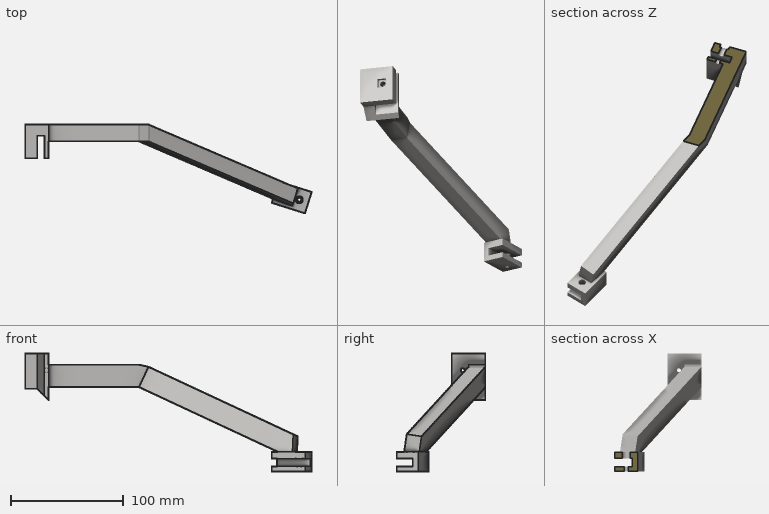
import cadquery as cq
import math


clamp_length = 20.8
clamp_depth = 30.0
jaw_height = 31.5
chamfer_drop = 10.0
clamp_height = jaw_height + chamfer_drop
jaw_length = clamp_length - chamfer_drop
slot_width = 6.2
slot_floor = 10.0

screw_y = -20.0
screw_z = -15.0
nut_side = 8.0
nut_depth = 3.0
jaw_hole_diameter = 5.0
lip_hole_diameter = 3.4

arm_width = 15.0
arm_height = 20.0
arm_top = -10.0
arm_bottom = arm_top - arm_height
elbow_x = 100.8
drop_angle = 25.0
swing_angle = 21.2
lower_arm_reach = 190.0

end_clamp_angle = 17.5
end_clamp_length = 31.0
end_clamp_depth = 20.0
upper_jaw = 6.1
end_slot_width = 6.9
lower_jaw = 4.6
end_clamp_height = upper_jaw + end_slot_width + lower_jaw
end_slot_depth = 15.0
end_clamp_right = 253.92
end_clamp_front = -78.81
end_clamp_bottom = -104.8
end_clamp_top = end_clamp_bottom + end_clamp_height
end_clamp_back = end_clamp_front + end_clamp_depth * math.cos(math.radians(end_clamp_angle))

end_screw_inset = 8.5
end_screw_diameter = 3.4
end_counterbore_diameter = 6.5
end_counterbore_depth = upper_jaw
arm_end_inset = 12.7


def box(x_min, x_max, y_min, y_max, z_min, z_max):
    """Axis-aligned box between the given limits."""
    size = (x_max - x_min, y_max - y_min, z_max - z_min)
    return cq.Workplane("XY").box(*size, centered=False).translate((x_min, y_min, z_min))


def cylinder_along_x(diameter, x_min, x_max):
    """Cylinder on the wall clamp's screw axis."""
    axis_plane = cq.Workplane("YZ", origin=(x_min, screw_y, screw_z))
    return axis_plane.circle(diameter / 2).extrude(x_max - x_min)


def turn_to_end_clamp(shape):
    """Place a shape whose origin is the end clamp's top back right corner."""
    turned = shape.rotate((0, 0, 0), (0, 0, 1), -end_clamp_angle)
    return turned.translate((end_clamp_right, end_clamp_back, end_clamp_top))


def make_wall_clamp():
    """Slotted block with a 45 degree underside, nut pocket and screw holes."""
    profile = [
        (0, 0),
        (clamp_length, 0),
        (clamp_length, -clamp_height),
        (jaw_length, -jaw_height),
        (0, -jaw_height),
    ]
    body = cq.Workplane("XZ").polyline(profile).close().extrude(clamp_depth)
    slot_end = jaw_length + slot_width
    slot = box(jaw_length, slot_end, -clamp_depth, -slot_floor, -clamp_height, 0)
    nut_pocket = box(
        0, nut_depth,
        screw_y - nut_side / 2, screw_y + nut_side / 2,
        screw_z - nut_side / 2, screw_z + nut_side / 2,
    )
    jaw_hole = cylinder_along_x(jaw_hole_diameter, 0, slot_end)
    lip_hole = cylinder_along_x(lip_hole_diameter, slot_end, clamp_length)
    return body.cut(slot).cut(nut_pocket).cut(jaw_hole).cut(lip_hole)


def make_upper_arm():
    """Level arm ending in a wedge that turns its end face down by the drop angle."""
    drop = math.radians(drop_angle)
    profile = [
        (clamp_length, arm_bottom),
        (clamp_length, arm_top),
        (elbow_x, arm_top),
        (elbow_x + arm_height * math.sin(drop), arm_bottom + arm_height * math.cos(drop)),
        (elbow_x, arm_bottom),
    ]
    return cq.Workplane("XZ").polyline(profile).close().extrude(arm_width)


def make_lower_arm():
    """Arm swung towards -Y and dropped about the elbow, trimmed flush with the end clamp."""
    sideways = lower_arm_reach * math.tan(math.radians(swing_angle))
    outline = [
        (0, 0),
        (lower_arm_reach, -sideways),
        (lower_arm_reach, -sideways - arm_width),
        (0, -arm_width),
    ]
    arm = cq.Workplane("XY").polyline(outline).close().extrude(arm_height)
    arm = arm.rotate((0, 0, 0), (0, 1, 0), drop_angle).translate((elbow_x, 0, arm_bottom))

    reach = 2 * lower_arm_reach
    beyond_end = turn_to_end_clamp(box(-arm_end_inset, reach, -reach, reach, -reach, reach))
    below_top = box(0, reach, -reach, reach, -reach, end_clamp_top)
    return arm.cut(beyond_end).cut(below_top)


def make_end_clamp():
    """Slotted block with a counterbored vertical screw hole."""
    body = box(-end_clamp_length, 0, -end_clamp_depth, 0, -end_clamp_height, 0)
    slot = box(
        -end_clamp_length, 0,
        -end_clamp_depth, end_slot_depth - end_clamp_depth,
        -upper_jaw - end_slot_width, -upper_jaw,
    )
    screw = cq.Workplane("XY").center(-end_screw_inset, -end_clamp_depth / 2)
    hole = screw.circle(end_screw_diameter / 2).extrude(-end_clamp_height)
    counterbore = screw.circle(end_counterbore_diameter / 2).extrude(-end_counterbore_depth)
    return turn_to_end_clamp(body.cut(slot).cut(hole).cut(counterbore))


arms = make_upper_arm().union(make_lower_arm())
result = make_wall_clamp().union(arms).union(make_end_clamp())